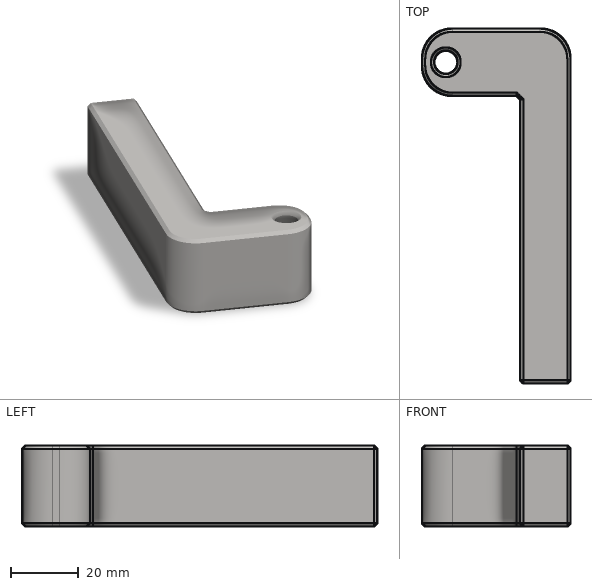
import cadquery as cq

length_x = 44.0
length_y = 105.0
height = 24.0

head_width = 20.0
arm_width = 15.0
corner_radius = 9.0
edge_chamfer = 1.0

inner_x = length_x - arm_width
inner_y = length_y - head_width

hole_diameter = 6.8
hole_from_end = 7.1
hole_y = length_y - head_width / 2


def make_blank():
    """Extrude the sharp-cornered L, with the free end of the arm at Y = 0."""
    outline = [
        (inner_x, 0),
        (length_x, 0),
        (length_x, length_y),
        (0, length_y),
        (0, inner_y),
        (inner_x, inner_y),
    ]
    return cq.Workplane("XY").polyline(outline).close().extrude(height)


def vertical_edges_at(body, corners):
    """Return the full-height edges standing on the given XY corners."""
    edges = body.edges("|Z")
    midpoints = [(x, y, height / 2) for x, y in corners]
    return [edges.edges(cq.NearestToPointSelector(point)).val() for point in midpoints]


def round_head(body):
    """Round the three outer corners of the head."""
    corners = [(0, inner_y), (0, length_y), (length_x, length_y)]
    return body.newObject(vertical_edges_at(body, corners)).fillet(corner_radius)


def drill_hole(body):
    """Drill the hole right through the head."""
    top = body.faces(">Z").workplane(origin=(0, 0, height))
    return top.pushPoints([(hole_from_end, hole_y)]).hole(hole_diameter)


def chamfer_sharp_edges(body):
    """Chamfer both end faces, the hole rims, the inner corner and the arm end.

    All edges are cut in one operation, so the chamfers at the arm end meet
    in a small triangular facet at each corner.
    """
    rims = body.faces("<Z or >Z").edges().vals()
    uprights = vertical_edges_at(body, [(inner_x, inner_y), (inner_x, 0), (length_x, 0)])
    return body.newObject(rims + uprights).chamfer(edge_chamfer)


blank = make_blank()
rounded = round_head(blank)
drilled = drill_hole(rounded)
result = chamfer_sharp_edges(drilled)